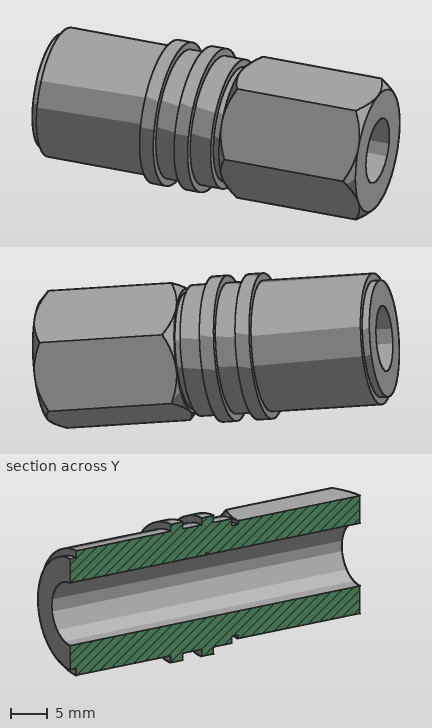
import cadquery as cq
import math

total_length = 47.5
tip_length = 1.0
collar_width = 2.0
collar_starts = (16.5, 21.5)
body_end = 26.5
nut_start = 27.5
nut_length = total_length - nut_start

tip_diameter = 16.0
neck_diameter = tip_diameter
body_diameter = 18.0
collar_diameter = 20.0
bore_diameter = 9.0
nut_across_flats = 17.0
nut_across_corners = nut_across_flats / math.cos(math.radians(30))

nut_chamfer = (nut_across_corners - nut_across_flats) / 2


def cylinder(start, length, diameter):
    """Solid cylinder along X, beginning at the given X position."""
    return cq.Workplane("YZ", origin=(start, 0, 0)).circle(diameter / 2).extrude(length)


def hex_nut():
    """Hexagon with corners on +Y and -Y, its corners turned off conically at both ends."""
    hexagon = (
        cq.Workplane("YZ", origin=(nut_start, 0, 0))
        .polygon(6, nut_across_corners)
        .extrude(nut_length)
    )
    round_blank = cylinder(nut_start, nut_length, nut_across_corners)
    turned_envelope = round_blank.edges("%CIRCLE").chamfer(nut_chamfer)
    return hexagon.intersect(turned_envelope)


plug = cylinder(0, nut_start, neck_diameter)
plug = plug.union(cylinder(tip_length, body_end - tip_length, body_diameter))
for collar_start in collar_starts:
    plug = plug.union(cylinder(collar_start, collar_width, collar_diameter))

bore = cylinder(0, total_length, bore_diameter)
result = plug.union(hex_nut()).cut(bore)